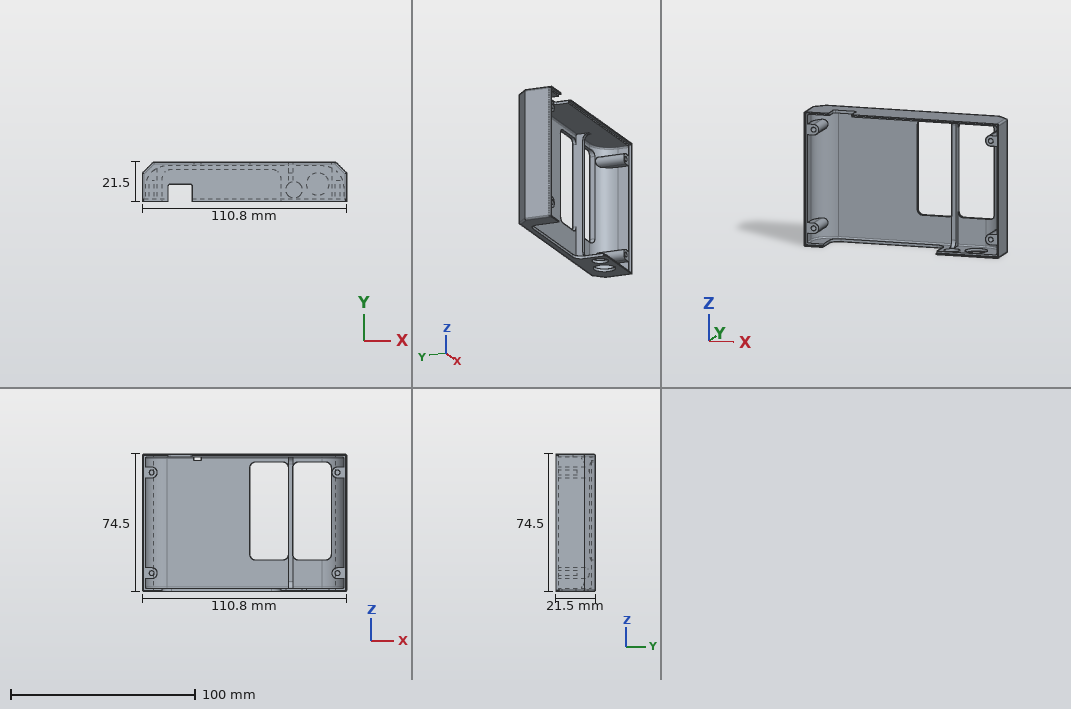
import cadquery as cq


LENGTH = 110.81
DEPTH = 21.5
HEIGHT = 74.48
WALL = 1.6
BACK_THICKNESS = 2.0
BACK_CHAMFER = 6.0
OUTER_EDGE_RADIUS = 1.0
CAVITY_CORNER_RADIUS = 11.85
CAVITY_EDGE_RADIUS = 0.8

LIP_THICKNESS = 0.65
LIP_DEPTH = 1.5

POST_INSET_X = 5.05
POST_INSET_Z = 9.95
POST_RADIUS = 2.95
SCREW_HOLE_DIAMETER = 2.7
SCREW_HOLE_DEPTH = 10.0

WINDOW_PAIR_WIDTH = 44.1
WINDOW_RIGHT_MARGIN = 8.4
WINDOW_TOP_MARGIN = 4.34
WINDOW_HEIGHT = 53.0
WINDOW_CORNER_RADIUS = 3.0
RIB_WIDTH = 2.4
RIB_HEIGHT = 4.0
RIB_END_RADIUS = 3.7

SLOT_LEFT_MARGIN = 27.9
SLOT_WIDTH = 4.0
SLOT_HEIGHT = 1.75

NOTCH_LEFT_MARGIN = 13.95
NOTCH_WIDTH = 13.05
NOTCH_DEPTH = 9.4
NOTCH_CORNER_RADIUS = 1.0

CUTOUT_LEFT_MARGIN = 10.7
CUTOUT_RIGHT_MARGIN = 35.7
CUTOUT_DEPTH = 17.5
CUTOUT_CORNER_RADIUS = 5.0

BOTTOM_HOLES = [
    (28.6, 6.45, 8.9),
    (15.75, 9.55, 12.15),
]

LEFT = -LENGTH / 2
RIGHT = LENGTH / 2
TOP = HEIGHT / 2
BOTTOM = -HEIGHT / 2
CAVITY_LENGTH = LENGTH - 2 * WALL
CAVITY_HEIGHT = HEIGHT - 2 * WALL
CAVITY_DEPTH = DEPTH - BACK_THICKNESS
CAVITY_TOP = CAVITY_HEIGHT / 2
CAVITY_BOTTOM = -CAVITY_HEIGHT / 2
WINDOW_CENTER_X = RIGHT - WINDOW_RIGHT_MARGIN - WINDOW_PAIR_WIDTH / 2
OVERCUT = 1.0


def block(x_min, x_max, y_min, y_max, z_min, z_max):
    """Box given by its limits along each axis."""
    size = (x_max - x_min, y_max - y_min, z_max - z_min)
    return cq.Workplane("XY").box(*size, centered=False).translate((x_min, y_min, z_min))


def outer_body():
    """Solid envelope: chamfered along the two back corners, rounded around the top and bottom faces."""
    body = block(LEFT, RIGHT, 0, DEPTH, BOTTOM, TOP)
    body = body.edges(">Y and |Z").chamfer(BACK_CHAMFER)
    return body.faces("|Z").edges("not(<Y)").fillet(OUTER_EDGE_RADIUS)


def cavity():
    """Hollow of the shell: large rounds in its two back corners, small ones along the top and bottom walls."""
    hollow = block(-CAVITY_LENGTH / 2, CAVITY_LENGTH / 2, 0, CAVITY_DEPTH, CAVITY_BOTTOM, CAVITY_TOP)
    hollow = hollow.edges(">Y and |Z").fillet(CAVITY_CORNER_RADIUS)
    return hollow.faces(">Y").edges("|X").fillet(CAVITY_EDGE_RADIUS)


def rim_rebate():
    """Rectangular step around the inside of the open rim, leaving a thin outer lip."""
    half_length = LENGTH / 2 - LIP_THICKNESS
    half_height = HEIGHT / 2 - LIP_THICKNESS
    return block(-half_length, half_length, -OVERCUT, LIP_DEPTH, -half_height, half_height)


def screw_posts():
    """Four posts joined to the side walls, running from the rebate floor to the back of the cavity."""
    posts = cq.Workplane("XY")
    post_z = HEIGHT / 2 - POST_INSET_Z
    for side in (-1, 1):
        post_x = side * (LENGTH / 2 - POST_INSET_X)
        wall_x = side * (LENGTH / 2 - WALL / 2)
        x_min, x_max = sorted((post_x, wall_x))
        for z in (-post_z, post_z):
            post = (
                cq.Workplane("XZ", origin=(post_x, LIP_DEPTH, z))
                .circle(POST_RADIUS)
                .extrude(LIP_DEPTH - DEPTH)
            )
            arm = block(x_min, x_max, LIP_DEPTH, DEPTH, z - POST_RADIUS, z + POST_RADIUS)
            posts = posts.add(post.union(arm))
    return posts.combine()


def screw_holes():
    """Blind pilot holes in the fronts of the posts."""
    return (
        cq.Workplane("XZ", origin=(0, LIP_DEPTH, 0))
        .rect(LENGTH - 2 * POST_INSET_X, HEIGHT - 2 * POST_INSET_Z, forConstruction=True)
        .vertices()
        .circle(SCREW_HOLE_DIAMETER / 2)
        .extrude(-SCREW_HOLE_DEPTH)
    )


def rib():
    """Upright rib between the windows, flaring into the top and bottom walls with concave rounds."""
    rib_front = CAVITY_DEPTH - RIB_HEIGHT
    flare_front = rib_front - RIB_END_RADIUS
    x_min = WINDOW_CENTER_X - RIB_WIDTH / 2
    x_max = WINDOW_CENTER_X + RIB_WIDTH / 2
    strip = block(x_min, x_max, flare_front, CAVITY_DEPTH, CAVITY_BOTTOM, CAVITY_TOP)
    clearance = block(x_min, x_max, flare_front - OVERCUT, rib_front, CAVITY_BOTTOM, CAVITY_TOP)
    return strip.cut(clearance.edges(">Y and |X").fillet(RIB_END_RADIUS))


def windows():
    """Two equal rounded windows through the back panel, one on each side of the rib."""
    width = (WINDOW_PAIR_WIDTH - RIB_WIDTH) / 2
    offset = (width + RIB_WIDTH) / 2
    z_max = TOP - WINDOW_TOP_MARGIN
    pair = cq.Workplane("XY")
    for x in (WINDOW_CENTER_X - offset, WINDOW_CENTER_X + offset):
        x_min = x - width / 2
        y_min = CAVITY_DEPTH - CAVITY_CORNER_RADIUS
        window = block(x_min, x_min + width, y_min, DEPTH + OVERCUT, z_max - WINDOW_HEIGHT, z_max)
        pair = pair.add(window.edges("|Y").fillet(WINDOW_CORNER_RADIUS))
    return pair.combine()


def back_slot():
    """Small slot through the back panel, against the inside of the top wall."""
    x_min = LEFT + SLOT_LEFT_MARGIN
    z_min = CAVITY_TOP - SLOT_HEIGHT
    return block(x_min, x_min + SLOT_WIDTH, CAVITY_DEPTH - OVERCUT, DEPTH + OVERCUT, z_min, CAVITY_TOP)


def top_notch():
    """Notch in the top wall, open at the rim."""
    x_min = LEFT + NOTCH_LEFT_MARGIN
    notch = block(x_min, x_min + NOTCH_WIDTH, -OVERCUT, NOTCH_DEPTH, CAVITY_TOP - OVERCUT, TOP + OVERCUT)
    return notch.edges(">Y and |Z").fillet(NOTCH_CORNER_RADIUS)


def bottom_cutout():
    """Wide cutout in the bottom wall, open at the rim."""
    x_min = LEFT + CUTOUT_LEFT_MARGIN
    x_max = RIGHT - CUTOUT_RIGHT_MARGIN
    cutout = block(x_min, x_max, -OVERCUT, CUTOUT_DEPTH, BOTTOM - OVERCUT, CAVITY_BOTTOM + OVERCUT)
    return cutout.edges(">Y and |Z").fillet(CUTOUT_CORNER_RADIUS)


def bottom_holes():
    """Round holes through the bottom wall."""
    holes = cq.Workplane("XY")
    for right_margin, rim_distance, diameter in BOTTOM_HOLES:
        hole = cq.Workplane("XY", origin=(RIGHT - right_margin, rim_distance, BOTTOM - OVERCUT))
        holes = holes.add(hole.circle(diameter / 2).extrude(WALL + 2 * OVERCUT))
    return holes.combine()


envelope = outer_body()
result = envelope.cut(cavity()).cut(rim_rebate())
result = result.union(screw_posts().intersect(envelope)).cut(screw_holes())
result = result.cut(windows()).union(rib()).cut(back_slot())
result = result.cut(top_notch()).cut(bottom_cutout()).cut(bottom_holes())